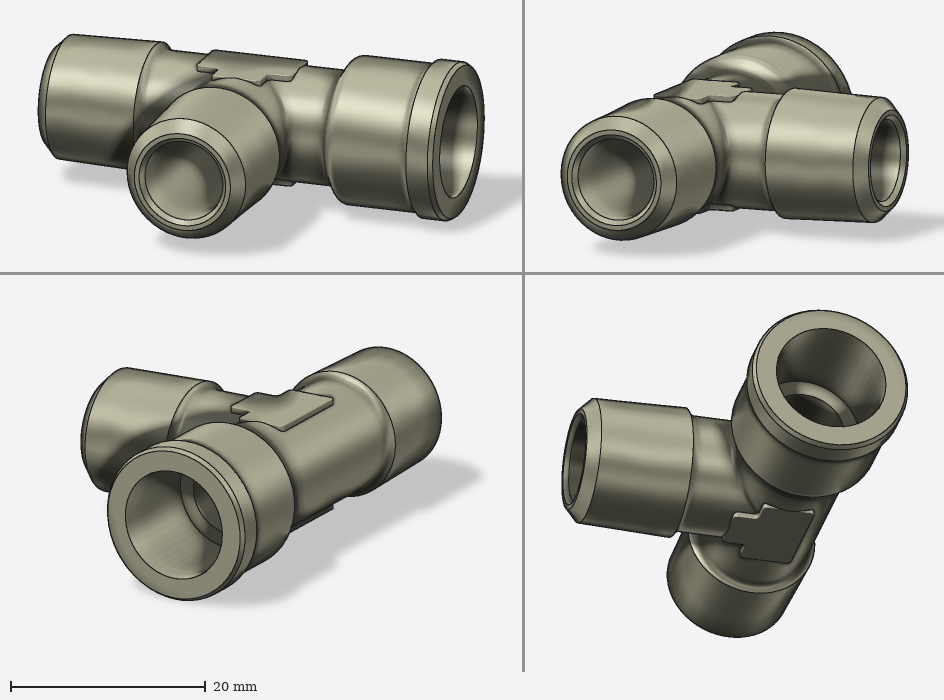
import cadquery as cq
import math

total_length = 44.0
total_width = 29.75

bore_radius = 8.5 / 2
neck_radius = 12.0 / 2
shoulder_angle = math.radians(60)
shoulder_fillet = 1.0

lip_radius = 16.5 / 2
lip_length = 2.8
lip_chamfer_length = 0.5
lip_chamfer_height = 0.3
socket_radius = 15.5 / 2
socket_length = 10.95
socket_bore_radius = 11.6 / 2
socket_bore_depth = 11.0

reach = total_width - lip_radius
male_length = 10.9
male_root_radius = 6.75
male_front_radius = 6.45
male_chamfer = 1.25
mouth_chamfer = 0.5

pad_half_width = 2.7
pad_half_length = 5.25
corner_fillet = 0.5
pad_edge_fillet = 0.1

crotch_reach = 7.9
crotch_half_height = 5.7

socket_end = total_length - reach
socket_start = socket_end - socket_length
lip_start = socket_end - lip_length


def arc_run(angle):
    """Axial length of a shoulder fillet that turns through the given angle."""
    return shoulder_fillet * math.sin(angle)


def arc_rise(angle):
    """Radial height of a shoulder fillet that turns through the given angle."""
    return shoulder_fillet * (1 - math.cos(angle))


def revolve_about_x(profile):
    return profile.close().revolve(360, (0, 0, 0), (1, 0, 0))


def male_end():
    """Outside of one male end and its neck, pointing along -X from the crossing."""
    root = reach - male_length
    cone_height = male_root_radius - neck_radius - arc_rise(shoulder_angle)
    arc_start = root - cone_height / math.tan(shoulder_angle)
    arc_end = arc_start - arc_run(shoulder_angle)
    arc_middle = (
        -arc_end - arc_run(shoulder_angle / 2),
        neck_radius + arc_rise(shoulder_angle / 2),
    )
    profile = (
        cq.Workplane("XY")
        .moveTo(0, 0)
        .lineTo(-reach, 0)
        .lineTo(-reach, male_front_radius - male_chamfer)
        .lineTo(-reach + male_chamfer, male_front_radius)
        .lineTo(-root, male_root_radius)
        .lineTo(-arc_start, male_root_radius - cone_height)
        .threePointArc(arc_middle, (-arc_end, neck_radius))
        .lineTo(0, neck_radius)
    )
    return revolve_about_x(profile)


def socket_end_body():
    """Outside of the socket and its neck, pointing along +X from the crossing."""
    half_turn = shoulder_angle / 2

    cone_height = socket_radius - neck_radius - 2 * arc_rise(shoulder_angle)
    top_arc_start = socket_start - arc_run(shoulder_angle)
    foot_arc_end = top_arc_start - cone_height / math.tan(shoulder_angle)
    foot_arc_start = foot_arc_end - arc_run(shoulder_angle)

    lip_turn = math.acos(1 - (lip_radius - socket_radius) / shoulder_fillet)
    lip_arc_start = lip_start - arc_run(lip_turn)

    profile = (
        cq.Workplane("XY")
        .moveTo(0, 0)
        .lineTo(0, neck_radius)
        .lineTo(foot_arc_start, neck_radius)
        .threePointArc(
            (foot_arc_start + arc_run(half_turn), neck_radius + arc_rise(half_turn)),
            (foot_arc_end, neck_radius + arc_rise(shoulder_angle)),
        )
        .lineTo(top_arc_start, socket_radius - arc_rise(shoulder_angle))
        .threePointArc(
            (socket_start - arc_run(half_turn), socket_radius - arc_rise(half_turn)),
            (socket_start, socket_radius),
        )
        .lineTo(lip_arc_start, socket_radius)
        .threePointArc(
            (lip_arc_start + arc_run(lip_turn / 2), socket_radius + arc_rise(lip_turn / 2)),
            (lip_start, lip_radius),
        )
        .lineTo(socket_end - lip_chamfer_length, lip_radius)
        .lineTo(socket_end, lip_radius - lip_chamfer_height)
        .lineTo(socket_end, 0)
    )
    return revolve_about_x(profile)


def pads():
    """T-shaped prism with softened edges, flush with the top and bottom of the necks."""
    bar = cq.Workplane("XY").box(2 * pad_half_length, 2 * pad_half_width, 2 * neck_radius)
    stem = (
        cq.Workplane("XY")
        .box(2 * pad_half_width, pad_half_length, 2 * neck_radius)
        .translate((0, -pad_half_length / 2, 0))
    )
    tee = bar.union(stem).edges("|Z").fillet(corner_fillet)
    return tee.faces("<Z or >Z").edges().fillet(pad_edge_fillet)


def male_bore():
    """Bore from the crossing to a male end, with a chamfered mouth, along -X."""
    profile = (
        cq.Workplane("XY")
        .moveTo(0, 0)
        .lineTo(-reach, 0)
        .lineTo(-reach, bore_radius + mouth_chamfer)
        .lineTo(-reach + mouth_chamfer, bore_radius)
        .lineTo(0, bore_radius)
    )
    return revolve_about_x(profile)


def socket_bore():
    """Bore from the crossing that opens into the wider socket bore, along +X."""
    floor = socket_end - socket_bore_depth
    profile = (
        cq.Workplane("XY")
        .moveTo(0, 0)
        .lineTo(0, bore_radius)
        .lineTo(floor, bore_radius)
        .lineTo(floor, socket_bore_radius)
        .lineTo(socket_end, socket_bore_radius)
        .lineTo(socket_end, 0)
    )
    return revolve_about_x(profile)


def to_branch(end):
    """Turn a -X pointing end so that it points along -Y."""
    return end.rotate((0, 0, 0), (0, 0, 1), 90)


def crotch_blend():
    """Crossing of the two necks with the inside corners rounded on both sides of the branch.

    It stops inside the pads, short of the height where the two necks become tangent.
    """
    run_neck = cq.Workplane("YZ").circle(neck_radius).extrude(crotch_reach, both=True)
    branch_neck = cq.Workplane("XZ").circle(neck_radius).extrude(crotch_reach)
    slab = cq.Workplane("XY").box(2 * crotch_reach, 2 * crotch_reach, 2 * crotch_half_height)
    crossing = run_neck.union(branch_neck).intersect(slab)
    return crossing.edges("%ELLIPSE").fillet(corner_fillet)


run = male_end().union(socket_end_body())
body = run.union(to_branch(male_end())).union(crotch_blend()).union(pads())
result = body.cut(male_bore()).cut(to_branch(male_bore())).cut(socket_bore())